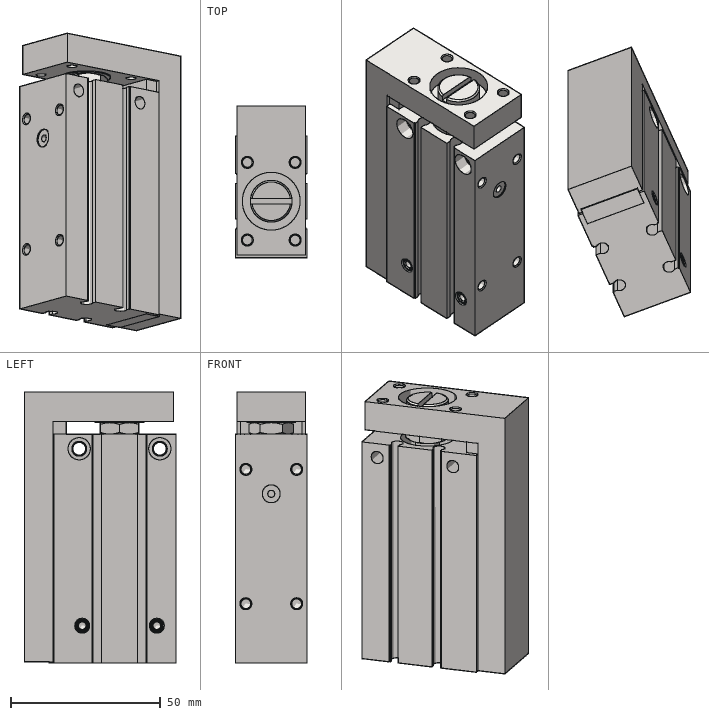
import cadquery as cq
import math

total_height = 91.0
total_depth = 51.0
axis_y = 19.0

housing_width = 24.0
housing_depth = 40.95
housing_height = 76.8
cylinder_bore_diameter = 18.0
cylinder_bore_floor_z = 10.0

table_width = 23.0
table_thickness = 10.0
table_back_thickness = 9.65
table_front_y = 0.9
table_bottom_z = 0.5

rail_width = 20.5
rail_front_y = 36.9
rail_back_y = 42.6

groove_offset = 7.5
groove_opening = 2.9
groove_diameter = 4.0
groove_centre_depth = 3.0
groove_step_width = 0.4
groove_step_depth = 0.4

mount_spacing = 27.0
mount_z = 71.9
mount_diameter = 4.3
mount_countersink_diameter = 5.0
mount_counterbore_diameter = 7.5
mount_counterbore_depth = 4.5

tap_diameter = 3.3
tap_mouth_diameter = 4.0
front_tap_spacing = 17.0
front_tap_heights = (19.9, 65.0)
front_tap_depth = 6.0
table_tap_spacing_x = 16.0
table_tap_spacing_y = 26.0
drill_point_angle = 118.0

vent_z = 56.8
vent_recess_diameter = 6.0
vent_recess_depth = 0.5
vent_diameter = 2.4

port_spacing = 25.0
port_z = 12.6
port_mouth_diameter = 5.0
port_diameter = 4.3
plug_length = 5.0
socket_diameter = 2.55
socket_mouth_diameter = 3.3
plug_chamfer = 0.3
socket_depth = 2.0

table_recess_diameter = 19.4
table_recess_depth = 5.0
screw_head_diameter = 14.0
screw_head_height = 4.6
screw_head_chamfer = 0.55
screw_slot_width = 1.9
screw_slot_depth = 2.0
screw_shank_diameter = 8.0

washer_diameter = 16.4
washer_thickness = 0.4
nut_across_flats = 13.0
nut_chamfer_angle = 30.0

side_x = -housing_width / 2
table_underside_z = total_height - table_thickness
table_back_y = total_depth - table_back_thickness
recess_floor_z = total_height - table_recess_depth
washer_bottom_z = table_underside_z - washer_thickness
nut_height = washer_bottom_z - housing_height
port_mouth_depth = (port_mouth_diameter - port_diameter) / 2


def box_between(x_range, y_range, z_range):
    """Axis-aligned box from three (low, high) pairs."""
    sizes = [high - low for low, high in (x_range, y_range, z_range)]
    return cq.Workplane("XY").box(*sizes, centered=False).translate((x_range[0], y_range[0], z_range[0]))


def cylinder(start, direction, diameter, length):
    return cq.Workplane(cq.Solid.makeCylinder(diameter / 2, length, cq.Vector(start), cq.Vector(direction)))


def mouth_chamfer(start, direction, mouth_diameter, diameter):
    """45-degree cone that widens a hole to mouth_diameter at its start."""
    depth = (mouth_diameter - diameter) / 2
    return cq.Workplane(
        cq.Solid.makeCone(mouth_diameter / 2, diameter / 2, depth, cq.Vector(start), cq.Vector(direction))
    )


def drilled_hole(start, direction, diameter, mouth_diameter, depth):
    """Cutter for a blind hole with a chamfered mouth and a drill-point end."""
    point_depth = diameter / 2 / math.tan(math.radians(drill_point_angle / 2))
    end = cq.Vector(start) + cq.Vector(direction) * depth
    point = cq.Workplane(cq.Solid.makeCone(diameter / 2, 0, point_depth, end, cq.Vector(direction)))
    barrel = cylinder(start, direction, diameter, depth)
    return barrel.union(point).union(mouth_chamfer(start, direction, mouth_diameter, diameter))


def pair_about_axis(spacing):
    """The two Y positions spaced evenly about the screw axis."""
    return (axis_y - spacing / 2, axis_y + spacing / 2)


def sensor_groove(side, direction):
    """Cutter for one full-height groove: side is the X sign, direction points away from the axis in Y."""
    face_x = side * housing_width / 2
    middle_y = axis_y + direction * groove_offset
    centre_x = face_x - side * groove_centre_depth
    outer_y = middle_y + direction * groove_opening / 2
    bore = cylinder((centre_x, middle_y, 0), (0, 0, 1), groove_diameter, housing_height)
    opening = (
        cq.Workplane("XY")
        .center((centre_x + face_x) / 2, middle_y)
        .rect(groove_centre_depth, groove_opening)
        .extrude(housing_height)
    )
    step = (
        cq.Workplane("XY")
        .center(face_x - side * groove_step_depth / 2, outer_y + direction * groove_step_width / 2)
        .rect(groove_step_depth, groove_step_width)
        .extrude(housing_height)
    )
    return bore.union(opening).union(step)


def mounting_hole(y):
    """Cutter for a through hole along X, counterbored on the -X side."""
    along_x = (1, 0, 0)
    floor = (side_x + mount_counterbore_depth, y, mount_z)
    through = cylinder((side_x, y, mount_z), along_x, mount_diameter, housing_width)
    counterbore = cylinder((side_x, y, mount_z), along_x, mount_counterbore_diameter, mount_counterbore_depth)
    countersink = mouth_chamfer(floor, along_x, mount_countersink_diameter, mount_diameter)
    return through.union(counterbore).union(countersink)


def port(y):
    """Cutter for a port on the -X side: chamfered mouth and the seat of its plug."""
    start = (side_x, y, port_z)
    along_x = (1, 0, 0)
    seat = cylinder(start, along_x, port_diameter, port_mouth_depth + plug_length)
    return seat.union(mouth_chamfer(start, along_x, port_mouth_diameter, port_diameter))


def vent():
    """Cutter for the recessed hole from the front face into the cylinder bore."""
    start = (0, 0, vent_z)
    along_y = (0, 1, 0)
    recess = cylinder(start, along_y, vent_recess_diameter, vent_recess_depth)
    return recess.union(cylinder(start, along_y, vent_diameter, axis_y))


def make_housing():
    half_width = housing_width / 2
    housing = box_between((-half_width, half_width), (0, housing_depth), (0, housing_height))
    housing = housing.cut(make_rail())
    bore_depth = housing_height - cylinder_bore_floor_z
    housing = housing.cut(
        cylinder((0, axis_y, cylinder_bore_floor_z), (0, 0, 1), cylinder_bore_diameter, bore_depth)
    )
    for side in (-1, 1):
        for direction in (-1, 1):
            housing = housing.cut(sensor_groove(side, direction))
    for y in pair_about_axis(mount_spacing):
        housing = housing.cut(mounting_hole(y))
    for y in pair_about_axis(port_spacing):
        housing = housing.cut(port(y))
    for x in (-front_tap_spacing / 2, front_tap_spacing / 2):
        for z in front_tap_heights:
            tap = drilled_hole((x, 0, z), (0, 1, 0), tap_diameter, tap_mouth_diameter, front_tap_depth)
            housing = housing.cut(tap)
    return housing.cut(vent())


def make_rail():
    """Full-height rail, let into the back of the housing and the channel of the table."""
    half_width = rail_width / 2
    return box_between((-half_width, half_width), (rail_front_y, rail_back_y), (0, table_underside_z))


def make_table():
    """L-shaped table with a rail channel, a screw recess and four tapped holes."""
    half_width = table_width / 2
    x_range = (-half_width, half_width)
    plate = box_between(x_range, (table_front_y, total_depth), (table_underside_z, total_height))
    back = box_between(x_range, (table_back_y, total_depth), (table_bottom_z, total_height))
    table = plate.union(back).cut(make_rail())
    down = (0, 0, -1)
    top_centre = (0, axis_y, total_height)
    table = table.cut(cylinder(top_centre, down, table_recess_diameter, table_recess_depth))
    table = table.cut(cylinder(top_centre, down, screw_shank_diameter, table_thickness))
    for x in (-table_tap_spacing_x / 2, table_tap_spacing_x / 2):
        for y in pair_about_axis(table_tap_spacing_y):
            start = (x, y, total_height)
            table = table.cut(cylinder(start, down, tap_diameter, table_thickness))
            table = table.cut(mouth_chamfer(start, down, tap_mouth_diameter, tap_diameter))
    return table


def make_screw():
    """Slotted screw: head on the recess floor, shank down to the floor of the cylinder bore."""
    up = (0, 0, 1)
    head = cylinder((0, axis_y, recess_floor_z), up, screw_head_diameter, screw_head_height)
    head = head.faces(">Z").chamfer(screw_head_chamfer)
    head_top_z = recess_floor_z + screw_head_height
    slot = box_between(
        (-screw_head_diameter, screw_head_diameter),
        (axis_y - screw_slot_width / 2, axis_y + screw_slot_width / 2),
        (head_top_z - screw_slot_depth, head_top_z),
    )
    shank_length = recess_floor_z - cylinder_bore_floor_z
    shank = cylinder((0, axis_y, cylinder_bore_floor_z), up, screw_shank_diameter, shank_length)
    return head.cut(slot).union(shank)


def make_washer():
    start = (0, axis_y, washer_bottom_z)
    up = (0, 0, 1)
    disc = cylinder(start, up, washer_diameter, washer_thickness)
    return disc.cut(cylinder(start, up, screw_shank_diameter, washer_thickness))


def make_nut():
    """Hexagon nut with corners on +X and -X, turned down to a cone at both ends."""
    across_corners = nut_across_flats / math.cos(math.pi / 6)
    corner_radius = across_corners / 2
    flat_radius = nut_across_flats / 2
    chamfer_height = (corner_radius - flat_radius) * math.tan(math.radians(nut_chamfer_angle))
    hexagon = cq.Workplane("XY").polygon(6, across_corners).extrude(nut_height)
    envelope = (
        cq.Workplane("XZ")
        .polyline([
            (0, 0),
            (flat_radius, 0),
            (corner_radius, chamfer_height),
            (corner_radius, nut_height - chamfer_height),
            (flat_radius, nut_height),
            (0, nut_height),
        ])
        .close()
        .revolve(360, (0, 0), (0, 1))
    )
    bore = cq.Workplane("XY").circle(screw_shank_diameter / 2).extrude(nut_height)
    return hexagon.intersect(envelope).cut(bore).translate((0, axis_y, housing_height))


def make_plug(y):
    """Chamfered plug seated just below the mouth of a port, with a drilled socket."""
    along_x = (1, 0, 0)
    start = (side_x + port_mouth_depth, y, port_z)
    socket = drilled_hole(start, along_x, socket_diameter, socket_mouth_diameter, socket_depth)
    body = cylinder(start, along_x, port_diameter, plug_length).faces("<X").chamfer(plug_chamfer)
    return body.cut(socket)


housing = make_housing()
rail = make_rail()
table = make_table()
screw = make_screw()
washer = make_washer()
nut = make_nut()
plugs = [make_plug(y) for y in pair_about_axis(port_spacing)]

result = cq.Compound.makeCompound([
    housing.val(),
    rail.val(),
    table.val(),
    screw.val(),
    washer.val(),
    nut.val(),
    *[plug.val() for plug in plugs],
])